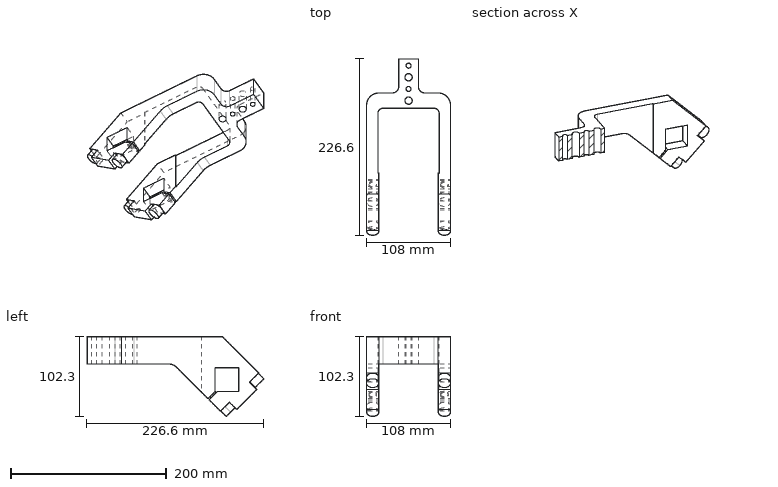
import cadquery as cq
import math

width = 108.0
bar_height = 35.0
half_width = width / 2

tail_width = 25.5
tail_length = 43.7
neck_radius = 8.0
hole_diameters = (6.0, 9.0)
hole_count = 4
first_hole_offset = 8.8
hole_pitch = 15.0

bridge_depth = 20.0
bridge_front = tail_length + bridge_depth
leg_thickness = 15.0
outer_corner_radius = 16.0
inner_corner_radius = 6.0
clamp_thickness = 16.0
clamp_start = 146.7

slope_start = 173.5
underside_corner = 110.2
underside_radius = 15.0
sloped_leg_width = (slope_start - (underside_corner - bar_height)) / math.sqrt(2)
seat_position = 65.7
notch_depth = 13.4
upper_notch_width = 16.8
lower_notch_width = 16.3

opening_side = 30.0
opening_rear = 164.0
opening_top = 40.0
slit_width = 2.0

head_diameter = 15.8
head_length = 10.0
shank_diameter = 10.0
shank_length = 34.0
upper_screw_inset = 8.5
lower_screw_inset = 8.4


def slope_point(along, inset):
    """Forward and up coordinates of a point on the 45 degree lower leg.

    along runs down the slope from its top edge, inset runs into the leg.
    """
    forward = slope_start + (along - inset) / math.sqrt(2)
    up = -(along + inset) / math.sqrt(2)
    return forward, up


def side_prism(points):
    """Full-width prism of an outline given as (forward, up) points."""
    outline = [(-forward, up) for forward, up in points]
    return cq.Workplane("YZ").polyline(outline).close().extrude(half_width, both=True)


def block(x_center, x_size, rear, front, height):
    """Block hanging from the top face between two forward positions."""
    return (
        cq.Workplane("XY")
        .center(x_center, -(rear + front) / 2)
        .rect(x_size, front - rear)
        .extrude(-height)
    )


def fork_plan(height, front):
    """Plan shape of tail, bridge and legs, extruded down from the top face."""
    half_tail = tail_width / 2
    outer = (
        block(0, width, tail_length, front, height)
        .edges("|Z and >Y")
        .fillet(outer_corner_radius)
    )
    body = outer.union(block(0, tail_width, 0, bridge_front, height))
    neck = cq.selectors.BoxSelector(
        (-half_tail - 2.3, -tail_length - 2.3, -height - 2.3),
        (half_tail + 2.3, -tail_length + 2.3, 2.3),
    )
    body = body.edges("|Z").edges(neck).fillet(neck_radius)
    gap = (
        block(0, width - 2 * leg_thickness, bridge_front, front, height)
        .edges("|Z and >Y")
        .fillet(inner_corner_radius)
    )
    body = body.cut(gap)
    for side in (-1, 1):
        clamp_center = side * (half_width - clamp_thickness / 2)
        body = body.union(block(clamp_center, clamp_thickness, clamp_start, front, height))
    return body


def side_profile():
    """Horizontal bar bending into the sloped leg, with both screw notches."""
    end = seat_position + notch_depth
    lower_notch_inset = sloped_leg_width - lower_notch_width
    profile = side_prism([
        (0, 0),
        (slope_start, 0),
        slope_point(seat_position, 0),
        slope_point(seat_position, upper_notch_width),
        slope_point(end, upper_notch_width),
        slope_point(end, lower_notch_inset),
        slope_point(seat_position, lower_notch_inset),
        slope_point(seat_position, sloped_leg_width),
        (underside_corner, -bar_height),
        (0, -bar_height),
    ])
    bend = cq.selectors.NearestToPointSelector((0, -underside_corner, -bar_height))
    return profile.edges("|X").edges(bend).fillet(underside_radius)


def clamp_opening():
    """Square opening and the slit running from its corner to the underside."""
    opening_front = opening_rear + opening_side
    opening_bottom = opening_top + opening_side
    square = side_prism([
        (opening_rear, -opening_top),
        (opening_front, -opening_top),
        (opening_front, -opening_bottom),
        (opening_rear, -opening_bottom),
    ])
    corner_along = (opening_rear - slope_start + opening_bottom) / math.sqrt(2)
    corner_inset = (slope_start - opening_rear + opening_bottom) / math.sqrt(2)
    slit_inset = corner_inset - slit_width
    slit = side_prism([
        slope_point(corner_along, slit_inset),
        slope_point(corner_along + slit_width, slit_inset),
        slope_point(corner_along + slit_width, sloped_leg_width),
        slope_point(corner_along, sloped_leg_width),
    ])
    return square.union(slit)


def screw(x, inset):
    """Screw along the slope: head standing on its seat, shank in the leg."""
    forward, up = slope_point(seat_position, inset)
    seat = cq.Plane(origin=(x, -forward, up), xDir=(-1, 0, 0), normal=(0, -1, -1))
    head = cq.Workplane(seat).circle(head_diameter / 2).extrude(head_length)
    shank = cq.Workplane(seat).circle(shank_diameter / 2).extrude(-shank_length)
    return head.union(shank)


leg_end_forward, _ = slope_point(seat_position, 0)
_, leg_end_up = slope_point(seat_position + notch_depth, sloped_leg_width)
result = fork_plan(-leg_end_up, leg_end_forward).intersect(side_profile())
result = result.cut(clamp_opening())

for index in range(hole_count):
    hole_position = first_hole_offset + index * hole_pitch
    hole_radius = hole_diameters[index % 2] / 2
    hole = cq.Workplane("XY").center(0, -hole_position).circle(hole_radius).extrude(-bar_height)
    result = result.cut(hole)

for side in (-1, 1):
    screw_x = side * (half_width - clamp_thickness / 2)
    for screw_inset in (upper_screw_inset, sloped_leg_width - lower_screw_inset):
        result = result.union(screw(screw_x, screw_inset))